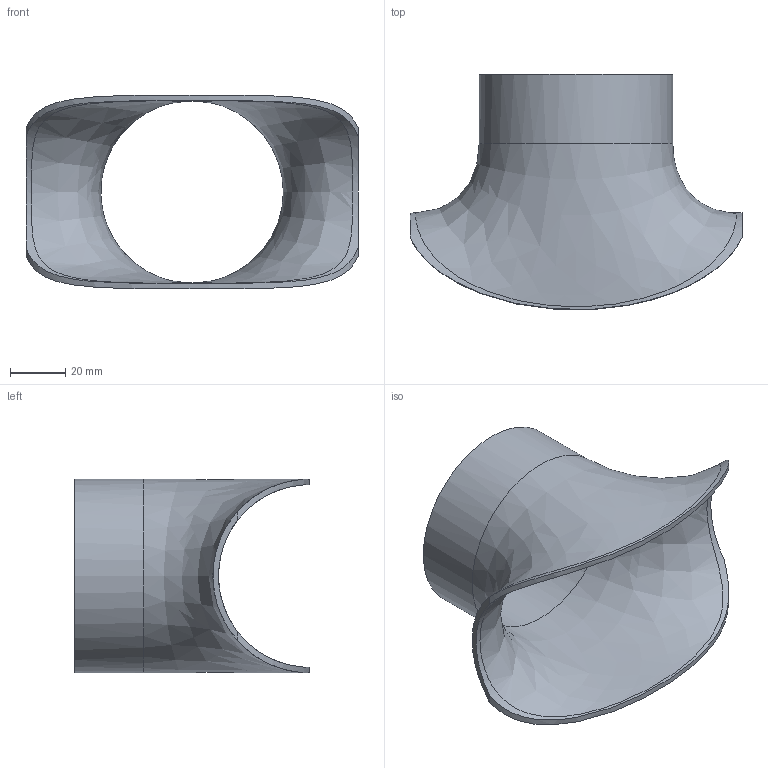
import cadquery as cq
import math

PIPE_RADIUS = 35.0
WALL = 2.0
BRANCH_END = 85.0
BRANCH_LENGTH = 25.0
SADDLE_LENGTH = 120.0
LIP_WIDTH = 2.0
FLARE_LOW_Y = 1.0

BORE_RADIUS = PIPE_RADIUS - WALL
FLARE_TOP = BRANCH_END - BRANCH_LENGTH
HALF_SADDLE = SADDLE_LENGTH / 2
FLARE_HALF_LENGTH = HALF_SADDLE - LIP_WIDTH
RIM_HALF_LENGTH = HALF_SADDLE + LIP_WIDTH

CONIC_WEIGHT = 0.8
STEPS_AROUND = 48
STEPS_DOWN = 12
STEPS_ACROSS_LIP = 4
FIT_TOLERANCE = 0.002
SEW_TOLERANCE = 0.02
LIP_OVERRUN = 5.0
LIP_OVERRUN_LOW = 1.5
SKIRT_Y = -10.0
OVERLAP = 5.0


def header_point(angle, radius, overrun=0.0):
    """Point of an oval loop on the header: the flare foot, widened by a share of the lip overrun."""
    half_length = FLARE_HALF_LENGTH + overrun * LIP_OVERRUN
    low_y = FLARE_LOW_Y - overrun * LIP_OVERRUN_LOW
    drop = math.sin(angle) ** 2
    x = half_length * math.cos(angle) * math.sqrt(1 + drop)
    y = radius - (radius - low_y) * drop
    z = math.copysign(math.sqrt(max(radius**2 - y**2, 0)), math.sin(angle))
    return cq.Vector(x, y, z)


def flare_point(angle, t, radius):
    """Point on the conic from the branch (t = 0) to the header (t = 1).

    The conic leaves straight down the branch wall. Its corner lies on the header's tangent plane
    for a flare that reaches down to the header axis, so it also runs out smoothly on the header.
    """
    start = cq.Vector(radius * math.cos(angle), FLARE_TOP, radius * math.sin(angle))
    foot = header_point(angle, radius)
    rise = math.cos(angle) ** 2
    corner_y = radius * (1 + rise - rise**2) / (1 + math.sqrt((1 - rise) * (1 - rise**2)))
    corner = cq.Vector(start.x, corner_y, start.z)
    start_weight = (1 - t) ** 2
    corner_weight = 2 * t * (1 - t) * CONIC_WEIGHT
    foot_weight = t**2
    total = start_weight + corner_weight + foot_weight
    return (start * start_weight + corner * corner_weight + foot * foot_weight) * (1 / total)


def surface_around(point_at, steps):
    """Smooth closed surface through point_at(angle, share), share running from 0 to 1."""
    grid = [
        [point_at(2 * math.pi * i / STEPS_AROUND, j / steps) for j in range(steps + 1)]
        for i in range(STEPS_AROUND + 1)
    ]
    return cq.Face.makeSplineApprox(grid, tol=FIT_TOLERANCE, minDeg=3, maxDeg=6)


def pipe_body(radius, branch_length):
    """Solid filling branch, flare and lip of one radius, closed by a straight skirt below."""
    def lip_point(angle, share):
        return header_point(angle, radius, share)

    def skirt_point(angle, share):
        lip_end = lip_point(angle, 1)
        return cq.Vector(lip_end.x, lip_end.y + share * (SKIRT_Y - lip_end.y), lip_end.z)

    flare = surface_around(lambda angle, share: flare_point(angle, share, radius), STEPS_DOWN)
    lip = surface_around(lip_point, STEPS_ACROSS_LIP)
    skirt = surface_around(skirt_point, STEPS_ACROSS_LIP)
    base_edge = min(skirt.Edges(), key=lambda edge: edge.Center().y)
    base = cq.Face.makeFromWires(cq.Wire.assembleEdges([base_edge]))
    tube = cq.Workplane("XZ", origin=(0, FLARE_TOP, 0)).circle(radius).extrude(-branch_length)
    tube_faces = tube.faces("%CYLINDER").vals() + tube.faces(">Y").vals()
    faces = [*tube_faces, flare, lip, skirt, base]
    return cq.Workplane(obj=cq.occ_impl.shapes.solid(*faces, tol=SEW_TOLERANCE))


def saddle_outline():
    """Upright prism that trims the saddle: an ellipse low down, squared off at both ends."""
    height = 2 * (PIPE_RADIUS + OVERLAP)
    rim = (
        cq.Workplane("XY")
        .center(0, PIPE_RADIUS)
        .ellipse(RIM_HALF_LENGTH, PIPE_RADIUS)
        .extrude(height / 2, both=True)
    )
    upper = (
        cq.Workplane("XY")
        .center(0, PIPE_RADIUS + BRANCH_END / 2)
        .rect(SADDLE_LENGTH, BRANCH_END)
        .extrude(height / 2, both=True)
    )
    ends = cq.Workplane("XY").box(SADDLE_LENGTH, 2 * BRANCH_END, height)
    return rim.intersect(ends).union(upper)


outer_body = pipe_body(PIPE_RADIUS, BRANCH_LENGTH)
bore_body = pipe_body(BORE_RADIUS, BRANCH_LENGTH + OVERLAP)
result = outer_body.intersect(saddle_outline()).cut(bore_body).solids()